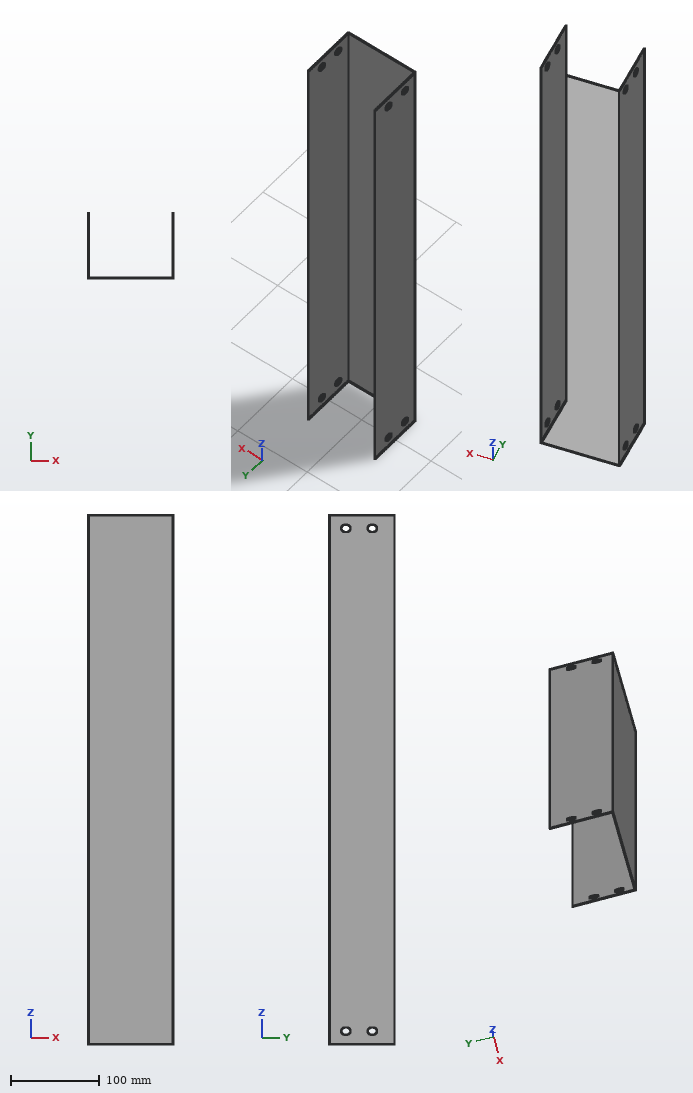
import cadquery as cq

width = 97.0
depth = 74.5
height = 600.0
sheet = 1.0

slot_length = 10.0
slot_height = 8.0
slot_end_distance = 15.0
slot_spacing = 30.0
first_slot_from_web = 19.0


def make_channel():
    """U-shaped sheet channel, open toward +Y and at both ends."""
    outer = cq.Workplane("XY").box(width, depth, height)
    inner = (
        cq.Workplane("XY")
        .box(width - 2 * sheet, depth, height)
        .translate((0, sheet, 0))
    )
    return outer.cut(inner)


def make_slots():
    """Slot cutters that pass through both flanges."""
    first_y = -depth / 2 + first_slot_from_web
    slot_z = height / 2 - slot_end_distance
    centers = [
        (y, z)
        for y in (first_y, first_y + slot_spacing)
        for z in (-slot_z, slot_z)
    ]
    return (
        cq.Workplane("YZ")
        .pushPoints(centers)
        .slot2D(slot_length, slot_height)
        .extrude(width, both=True)
    )


result = make_channel().cut(make_slots())